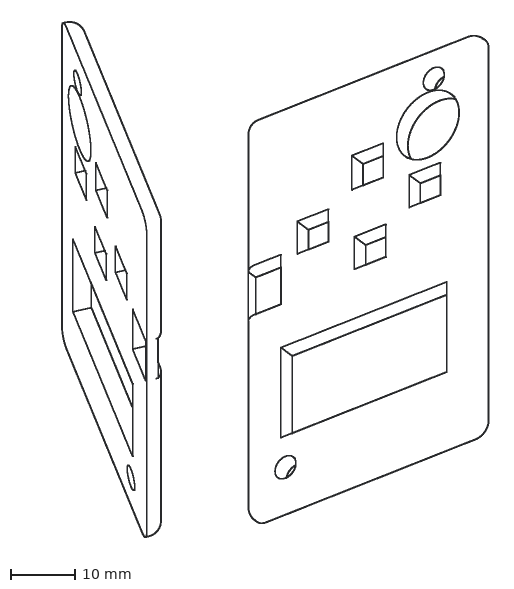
import cadquery as cq

plate_width = 45.24
plate_height = 73.79
plate_thickness = 3.0
edge_radius = 2.5

screw_hole_diameter = 4.0
upper_screw_hole_center = (-14.25, 30.35)
lower_screw_hole_center = (14.25, -30.5)
large_hole_diameter = 12.0
large_hole_center = (-13.1, 22.25)

button_size = 6.0
top_button_height = 6.3
top_button_center = (-1.5, 19.0)
left_button_center = (-12.5, 11.4)
right_button_center = (9.0, 11.0)
bottom_button_center = (-2.0, 4.0)

window_width = 31.8
window_height = 16.6
window_center = (-0.8, -16.4)

slot_width = 7.0
slot_height = 9.15
slot_edge_wall = 0.5
slot_center = (plate_width / 2 - slot_edge_wall - slot_width / 2, 4.5)


def make_plate():
    """Rounded rectangle with a full-radius rim around its rear face."""
    plate = cq.Workplane("XY").box(
        plate_width, plate_thickness, plate_height, centered=(True, False, True)
    )
    plate = plate.edges("|Y").fillet(edge_radius)
    return plate.faces(">Y").edges().fillet(edge_radius)


def extrude_through(center, sketch):
    """Extrude a sketch drawn at an (x, z) centre through the plate thickness."""
    return sketch(cq.Workplane("XZ").center(*center)).extrude(-plate_thickness)


def round_cutter(center, diameter):
    return extrude_through(center, lambda plane: plane.circle(diameter / 2))


def rectangular_cutter(center, width, height):
    return extrude_through(center, lambda plane: plane.rect(width, height))


def cut_round_holes(plate):
    for center in (upper_screw_hole_center, lower_screw_hole_center):
        plate = plate.cut(round_cutter(center, screw_hole_diameter))
    return plate.cut(round_cutter(large_hole_center, large_hole_diameter))


def cut_button_openings(plate):
    plate = plate.cut(rectangular_cutter(top_button_center, button_size, top_button_height))
    for center in (left_button_center, right_button_center, bottom_button_center):
        plate = plate.cut(rectangular_cutter(center, button_size, button_size))
    return plate


def cut_window_and_slot(plate):
    plate = plate.cut(rectangular_cutter(window_center, window_width, window_height))
    return plate.cut(rectangular_cutter(slot_center, slot_width, slot_height))


result = make_plate()
result = cut_round_holes(result)
result = cut_button_openings(result)
result = cut_window_and_slot(result)